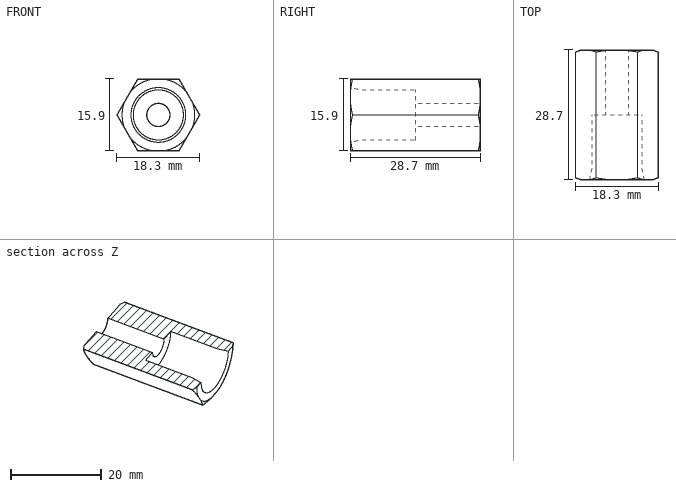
import cadquery as cq
import math

length = 28.7
across_flats = 15.87
across_corners = across_flats / math.cos(math.radians(30))

end_face_diameter = 16.05
corner_relief_depth = 0.45

through_diameter = 5.08
bore_diameter = 11.08
bore_depth = 14.35
mouth_diameter = 12.1
mouth_depth = 2.47


def make_hex_body():
    """Hexagonal bar with two flats facing up and down."""
    return (
        cq.Workplane("XZ")
        .polygon(6, across_corners)
        .extrude(length / 2, both=True)
    )


def make_relief_envelope():
    """Round bar, coned at both ends from the corners down to the end faces."""
    half_length = length / 2
    shoulder = half_length - corner_relief_depth
    end_radius = end_face_diameter / 2
    corner_radius = across_corners / 2
    profile = [
        (0, -half_length),
        (end_radius, -half_length),
        (corner_radius, -shoulder),
        (corner_radius, shoulder),
        (end_radius, half_length),
        (0, half_length),
    ]
    return cq.Workplane("XY").polyline(profile).close().revolve(360, (0, 0), (0, 1))


def make_stepped_bore():
    """Tapered mouth, flat-bottomed bore and small through hole."""
    front = -length / 2
    through_radius = through_diameter / 2
    bore_radius = bore_diameter / 2
    profile = [
        (0, front),
        (mouth_diameter / 2, front),
        (bore_radius, front + mouth_depth),
        (bore_radius, front + bore_depth),
        (through_radius, front + bore_depth),
        (through_radius, length / 2),
        (0, length / 2),
    ]
    return cq.Workplane("XY").polyline(profile).close().revolve(360, (0, 0), (0, 1))


result = make_hex_body().intersect(make_relief_envelope()).cut(make_stepped_bore())